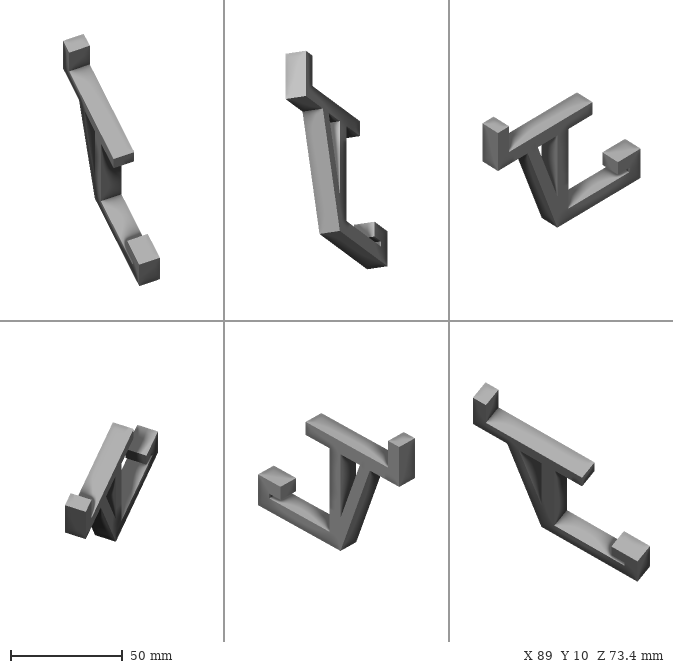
import cadquery as cq

length = 89.0
thickness = 10.0
height = 73.4
wall = 7.0

shelf_length = 59.0
lip_rise = 14.4
shelf_top = height - lip_rise
shelf_bottom = shelf_top - wall

post_left = 37.0
post_right = post_left + wall

hook_length = 14.15
hook_gap = 2.5
hook_bottom = wall + hook_gap
hook_top = hook_bottom + wall

brace_left = 18.5
brace_width = 6.3
brace_slope = shelf_bottom / (post_left - brace_left)
window_left = brace_left + brace_width
window_bottom = shelf_bottom - brace_slope * (post_left - window_left)


def extrude_profile(points):
    """Extrude a closed XZ outline, centred on the Y origin."""
    return cq.Workplane("XZ").polyline(points).close().extrude(thickness / 2, both=True)


bracket = extrude_profile([
    (post_left, 0),
    (length, 0),
    (length, hook_top),
    (length - hook_length, hook_top),
    (length - hook_length, hook_bottom),
    (length - wall, hook_bottom),
    (length - wall, wall),
    (post_right, wall),
    (post_right, shelf_bottom),
    (shelf_length, shelf_bottom),
    (shelf_length, shelf_top),
    (wall, shelf_top),
    (wall, height),
    (0, height),
    (0, shelf_bottom),
    (brace_left, shelf_bottom),
])

window = extrude_profile([
    (window_left, shelf_bottom),
    (post_left, shelf_bottom),
    (post_left, window_bottom),
])

result = bracket.cut(window)